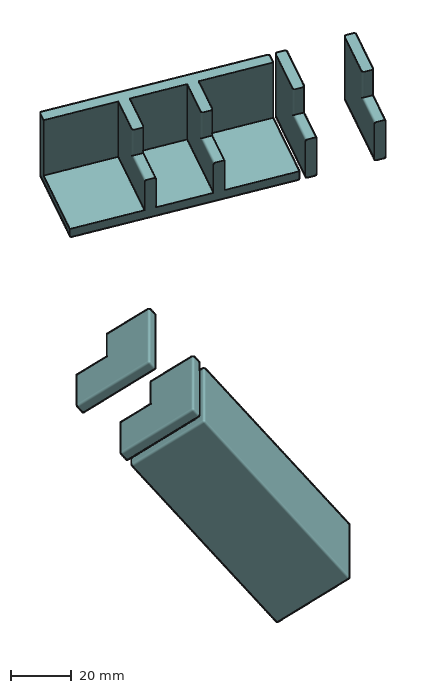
import cadquery as cq

width = 30.0
height = 30.0
wall = 4.0
edge_radius = 0.8

tray_length = 80.0
rib_gap = 20.0
rib_count = 2
rib_pitch = rib_gap + wall
first_rib_y = (tray_length - (rib_count - 1) * rib_pitch - wall) / 2

notch_width = 12.0
notch_height = 12.0
step_x = width - notch_width
step_z = height - notch_height

plate_count = 2
plate_clearance = 2.0
plate_pitch = rib_pitch
first_plate_y = tray_length + plate_clearance

margin = 0.1


def stepped_slab(y_start, inset=0):
    """Upright slab with a stepped upper corner; the inset trims its back and its underside."""
    outline = [
        (inset, inset),
        (width, inset),
        (width, step_z),
        (step_x, step_z),
        (step_x, height),
        (inset, height),
    ]
    return cq.Workplane("XZ", origin=(0, y_start, 0)).polyline(outline).close().extrude(-wall)


def box_between(low, high):
    """Selector for the edges centred in a box grown by the margin on every side."""
    return cq.selectors.BoxSelector(
        tuple(value - margin for value in low),
        tuple(value + margin for value in high),
    )


def outer_faces_selector(y_start, y_end):
    """Selector for the edges around the outer back face and the underside."""
    back_face = box_between((0, y_start, 0), (0, y_end, height - wall))
    underside = box_between((0, y_start, 0), (width - wall, y_end, 0))
    return back_face + underside


def notch_selector(y_start):
    """Selector for the long edges on both sides of the two step faces, without their inner corner."""
    y_end = y_start + wall
    corner_middle = (step_x, y_start + wall / 2, step_z)
    corner_edge = box_between(corner_middle, corner_middle)
    upright_face = box_between((step_x, y_start, step_z), (step_x, y_end, height - wall))
    level_face = box_between((step_x, y_start, step_z), (width - wall, y_end, step_z))
    return upright_face + level_face - corner_edge


def make_tray():
    """Back wall, floor and two stepped ribs as one body."""
    profile = [
        (0, 0),
        (width, 0),
        (width, wall),
        (wall, wall),
        (wall, height),
        (0, height),
    ]
    body = cq.Workplane("XZ").polyline(profile).close().extrude(-tray_length)
    body = body.edges(outer_faces_selector(0, tray_length)).fillet(edge_radius)
    for index in range(rib_count):
        rib_y = first_rib_y + index * rib_pitch
        rib = stepped_slab(rib_y, inset=wall / 2)
        body = body.union(rib.edges(notch_selector(rib_y)).fillet(edge_radius))
    return body


def make_plate(y_start):
    """Loose stepped plate with rounded back, bottom and step edges."""
    plate = stepped_slab(y_start)
    rounded_edges = outer_faces_selector(y_start, y_start + wall) + notch_selector(y_start)
    return plate.edges(rounded_edges).fillet(edge_radius)


tray = make_tray()
plates = [make_plate(first_plate_y + index * plate_pitch) for index in range(plate_count)]

result = cq.Compound.makeCompound([tray.val(), *[plate.val() for plate in plates]])